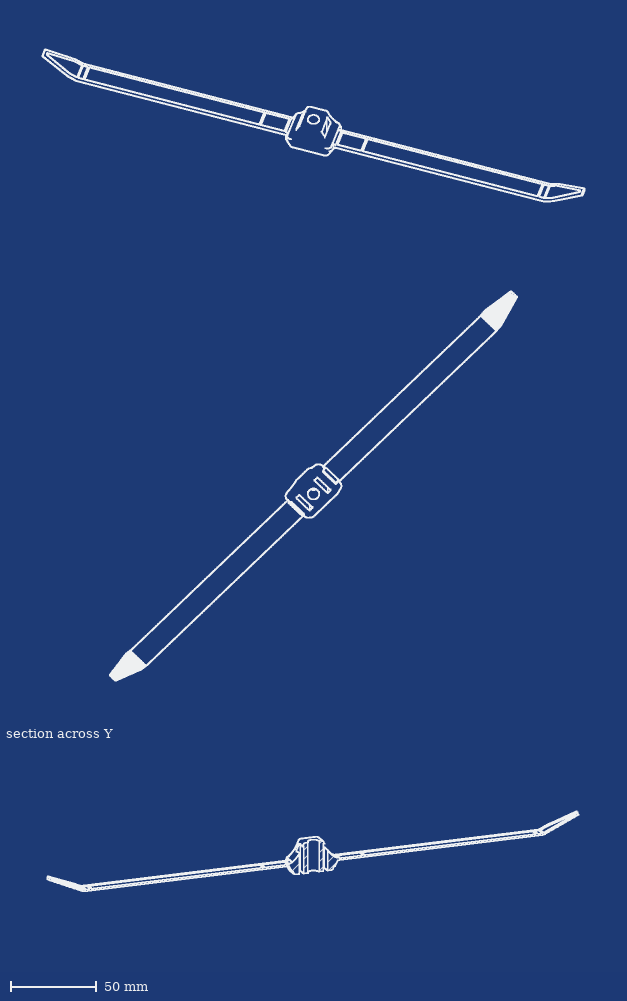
import cadquery as cq
import math

overall_length = 331.23
head_height = 19.05
head_width = 20.32

base_half_length = 12.0
parting_half_length = 14.6
parting_height = 6.0
shoulder_half_length = 13.4
shoulder_height = 8.1
flank_half_length = 8.9
flank_height = 12.7
crown_half_length = 6.3

base_half_width = 9.95
parting_half_width = head_width / 2
crown_half_width = 9.2
side_draft = (parting_half_width - crown_half_width) / (head_height - parting_height)
shoulder_half_width = parting_half_width - side_draft * (shoulder_height - parting_height)

base_corner_radius = 2.8
shoulder_corner_radius = 2.0
base_edge_fillet = 1.0
hood_fillet = 2.0

bore_diameter = 6.6
slot_outer = 8.8
slot_inner = 6.2
slot_width = 11.0
slot_ceiling = 16.8

strap_width = 13.1
strap_thickness = 1.7
edge_bulge = 0.9
strap_middle = 6.4
panel_depth = 0.3
panel_border = 1.9
cross_rib = 1.0
panel_start = 16.3
first_rib = 31.2
second_rib = 139.2

gusset_width = 10.8
gusset_reach = 15.3
gusset_top = 8.0
gusset_bottom = 2.2
gusset_bottom_half_length = 13.6

bend_middle = 143.2
tip_angle = 24.0
taper_start = 148.2
tip_width = 5.0
groove_pitch = 1.5
groove_width = 0.75
groove_depth = 0.25

half_rib = cross_rib / 2
half_thick = strap_thickness / 2
panel_half_width = strap_width / 2 - panel_border
tip_cos = math.cos(math.radians(tip_angle))
tip_sin = math.sin(math.radians(tip_angle))
bend_radius = half_rib / math.tan(math.radians(tip_angle / 2))
tip_straight = (taper_start - bend_middle) / tip_cos
tip_reach = (overall_length / 2 - bend_middle - half_thick * tip_sin) / tip_cos


def rounded_rectangle(height, half_length, half_width, corner_radius):
    """Rounded rectangle at the given height, centred on the Z axis."""
    return (
        cq.Sketch()
        .rect(2 * half_length, 2 * half_width)
        .vertices()
        .fillet(corner_radius)
        .moved(cq.Location(cq.Vector(0, 0, height)))
    )


def head_base():
    """Foot of the head, widest at the parting plane, with a short lip above it."""
    bottom = rounded_rectangle(0, base_half_length, base_half_width, base_corner_radius)
    parting = rounded_rectangle(
        parting_height, parting_half_length, parting_half_width, base_corner_radius
    )
    shoulder = rounded_rectangle(
        shoulder_height, shoulder_half_length, shoulder_half_width, shoulder_corner_radius
    )
    foot = cq.Workplane("XY").placeSketch(bottom, parting).loft(ruled=True)
    foot = foot.faces("<Z").edges().fillet(base_edge_fillet)
    lip = cq.Workplane("XY").placeSketch(parting, shoulder).loft(ruled=True)
    return foot.union(lip)


def head_hood():
    """Drafted upper part of the head with concave flanks rising to a flat crown."""
    flanks = (
        cq.Workplane("XZ")
        .moveTo(-shoulder_half_length, shoulder_height)
        .threePointArc((-flank_half_length, flank_height), (-crown_half_length, head_height))
        .lineTo(crown_half_length, head_height)
        .threePointArc((flank_half_length, flank_height), (shoulder_half_length, shoulder_height))
        .close()
        .extrude(parting_half_width, both=True)
    )
    sides = (
        cq.Workplane("YZ")
        .moveTo(-shoulder_half_width, shoulder_height)
        .lineTo(-crown_half_width, head_height)
        .lineTo(crown_half_width, head_height)
        .lineTo(shoulder_half_width, shoulder_height)
        .close()
        .extrude(parting_half_length, both=True)
    )
    hood = flanks.intersect(sides)
    hood = hood.edges("not (#Z or |X or |Y)").fillet(hood_fillet)
    return hood.faces(">Z").edges().fillet(hood_fillet)


def head_openings():
    """Central bore and the two tie slots, all open at the bottom."""
    openings = cq.Workplane("XY").circle(bore_diameter / 2).extrude(head_height)
    for side in (-1, 1):
        slot = cq.Workplane("XY").box(
            slot_outer - slot_inner, slot_width, slot_ceiling, centered=(True, True, False)
        )
        openings = openings.union(slot.translate((side * (slot_outer + slot_inner) / 2, 0, 0)))
    return openings


def rounded_section(plane, width):
    """Flat section whose two edges are single bulging arcs."""
    flat = width / 2 - edge_bulge
    return (
        plane.moveTo(-flat, -half_thick)
        .lineTo(flat, -half_thick)
        .threePointArc((width / 2, 0), (flat, half_thick))
        .lineTo(-flat, half_thick)
        .threePointArc((-width / 2, 0), (-flat, -half_thick))
        .close()
    )


def strap_section(x):
    """Sketch of the full-width strap section at distance x from the YZ plane."""
    return rounded_section(cq.Workplane("YZ", origin=(x, 0, 0)), strap_width)


def panel(outline):
    """Cutter for a panel with the given XY outline, in the frame of a flat strap."""
    floor = half_thick - panel_depth
    return cq.Workplane("XY", origin=(0, 0, floor)).polyline(outline).close().extrude(strap_thickness)


def rectangular_panel(start, end):
    """Cutter for a panel between two distances along the strap."""
    return panel(
        [
            (start, -panel_half_width),
            (end, -panel_half_width),
            (end, panel_half_width),
            (start, panel_half_width),
        ]
    )


def flat_band():
    """Straight part of one strap half, from the head centre to the bend."""
    band = strap_section(0).extrude(bend_middle - half_rib)
    band = band.cut(rectangular_panel(panel_start, first_rib - half_rib))
    band = band.cut(rectangular_panel(first_rib + half_rib, second_rib - half_rib))
    return band.cut(rectangular_panel(second_rib + half_rib, bend_middle - half_rib))


def bend():
    """Short curved stretch turning the strap upwards."""
    return strap_section(bend_middle - half_rib).revolve(
        tip_angle, (1, bend_radius, 0), (-1, bend_radius, 0)
    )


def grip_grooves():
    """Cutters for the cross grooves in the underside of the flat tip."""
    count = math.floor((tip_reach - groove_pitch) / groove_pitch)
    grooves = cq.Workplane("XY")
    for number in range(count):
        groove = cq.Workplane("XY").box(groove_width, 2 * strap_width, 2 * groove_depth)
        grooves = grooves.add(groove.translate(((number + 1) * groove_pitch, 0, -half_thick)))
    return grooves.combine()


def tip():
    """Tapered strap end, made flat and then swung up about the middle of the bend."""
    straight = strap_section(half_rib).extrude(tip_straight - half_rib)
    taper_base = strap_section(tip_straight)
    end_plane = taper_base.workplane(offset=tip_reach - tip_straight)
    taper = rounded_section(end_plane, tip_width).loft(ruled=True)
    end_half_width = tip_width / 2 - panel_border
    panel_end = tip_reach - panel_border
    tip_panel = panel(
        [
            (half_rib, -panel_half_width),
            (tip_straight, -panel_half_width),
            (panel_end, -end_half_width),
            (panel_end, end_half_width),
            (tip_straight, panel_half_width),
            (half_rib, panel_half_width),
        ]
    )
    flat_tip = straight.union(taper).cut(tip_panel).cut(grip_grooves())
    return flat_tip.rotate((0, 0, 0), (0, 1, 0), -tip_angle).translate((bend_middle, 0, 0))


def gusset():
    """Wedge that blends the strap root into the end of the head, above and below the strap."""
    return (
        cq.Workplane("XZ")
        .moveTo(0, gusset_top)
        .lineTo(shoulder_half_length, gusset_top)
        .lineTo(gusset_reach, strap_middle + half_thick)
        .lineTo(gusset_reach, strap_middle - half_thick)
        .lineTo(gusset_bottom_half_length, gusset_bottom)
        .lineTo(0, gusset_bottom)
        .close()
        .extrude(gusset_width / 2, both=True)
    )


def strap_half():
    """Strap on the +X side with its gusset."""
    band = flat_band().union(bend()).union(tip())
    return band.translate((0, 0, strap_middle)).union(gusset())


head = head_base().union(head_hood())
right_strap = strap_half()
left_strap = right_strap.mirror("YZ")
result = head.union(right_strap).union(left_strap).cut(head_openings())